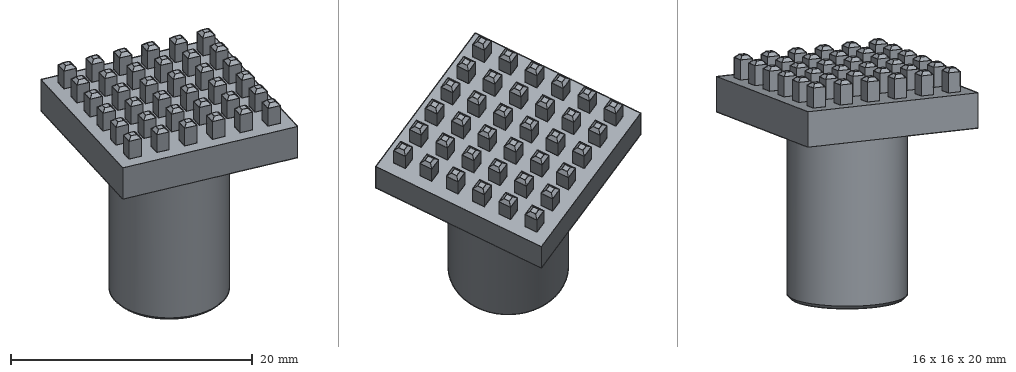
import cadquery as cq
import math

plate_side = 16.0
plate_thickness = 3.0
shank_diameter = 10.0
shank_length = 15.0
shank_chamfer = 0.3
pins_per_side = 6
pin_pitch = 2.55
pin_diagonal = 1.6
pin_width = pin_diagonal / math.sqrt(2)
pin_height = 2.0
pin_chamfer = 0.3


def make_shank():
    """Round shank from Z = 0 up to the plate, with a chamfered lower rim."""
    shank = cq.Workplane("XY").circle(shank_diameter / 2).extrude(shank_length)
    return shank.faces("<Z").chamfer(shank_chamfer)


def make_plate():
    """Square plate centred on top of the shank."""
    plate = cq.Workplane("XY").workplane(offset=shank_length)
    return plate.rect(plate_side, plate_side).extrude(plate_thickness)


def make_pins():
    """Square grid of pins standing on the plate, with chamfered tips."""
    pins = (
        cq.Workplane("XY")
        .workplane(offset=shank_length + plate_thickness)
        .rarray(pin_pitch, pin_pitch, pins_per_side, pins_per_side)
        .rect(pin_width, pin_width)
        .extrude(pin_height)
    )
    return pins.faces(">Z").chamfer(pin_chamfer)


result = make_shank().union(make_plate()).union(make_pins())